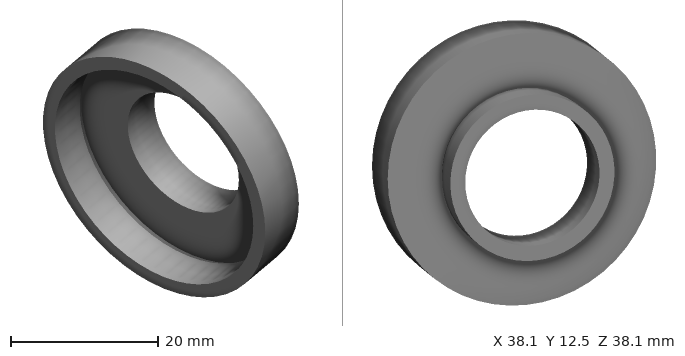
import cadquery as cq

flange_diameter = 38.1
flange_length = 7.5
recess_diameter = 34.0
recess_depth = 6.5
undercut_diameter = 35.0
undercut_length = 1.0

neck_diameter = 22.7
neck_length = 1.0
hub_diameter = 23.28
hub_length = 4.0

bore_diameter = flange_diameter / 2
total_length = flange_length + neck_length + hub_length


def cylinder(diameter, start, length):
    """Solid cylinder on the Y axis, running towards +Y from y = start."""
    return cq.Workplane("XZ", origin=(0, start, 0)).circle(diameter / 2).extrude(-length)


flange = cylinder(flange_diameter, 0, flange_length)
neck = cylinder(neck_diameter, flange_length, neck_length)
hub = cylinder(hub_diameter, flange_length + neck_length, hub_length)

recess = cylinder(recess_diameter, 0, recess_depth)
undercut = cylinder(undercut_diameter, recess_depth - undercut_length, undercut_length)
bore = cylinder(bore_diameter, 0, total_length)

result = flange.union(neck).union(hub).cut(recess).cut(undercut).cut(bore)